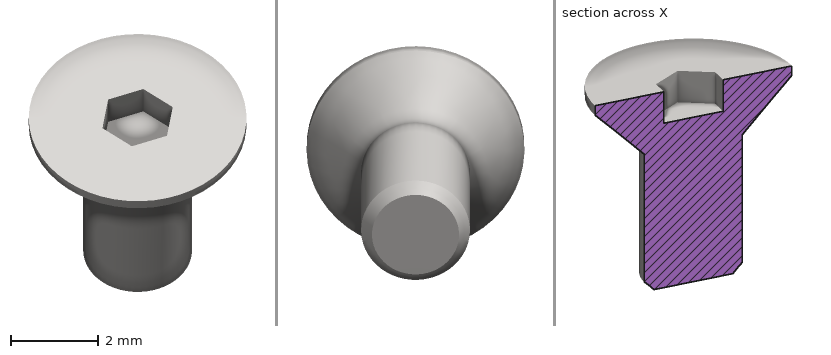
import cadquery as cq
import math

length = 5.0
head_diameter = 5.0
shank_diameter = 2.5
rim_height = 0.25
tip_chamfer = 0.25
socket_across_flats = 1.5
socket_depth = 0.8

head_radius = head_diameter / 2
shank_radius = shank_diameter / 2
cone_height = head_radius - shank_radius
rim_bottom = length - rim_height
cone_bottom = rim_bottom - cone_height


def make_body():
    """Revolve the half section of the head, shank and chamfered tip."""
    half_section = [
        (0, 0),
        (shank_radius - tip_chamfer, 0),
        (shank_radius, tip_chamfer),
        (shank_radius, cone_bottom),
        (head_radius, rim_bottom),
        (head_radius, length),
        (0, length),
    ]
    profile = cq.Workplane("XZ").polyline(half_section).close()
    return profile.revolve(360, (0, 0, 0), (0, 1, 0))


def make_socket():
    """Hexagonal prism with two corners on the X axis."""
    across_corners = socket_across_flats / math.cos(math.pi / 6)
    floor = cq.Workplane("XY").workplane(offset=length - socket_depth)
    return floor.polygon(6, across_corners).extrude(socket_depth)


result = make_body().cut(make_socket())